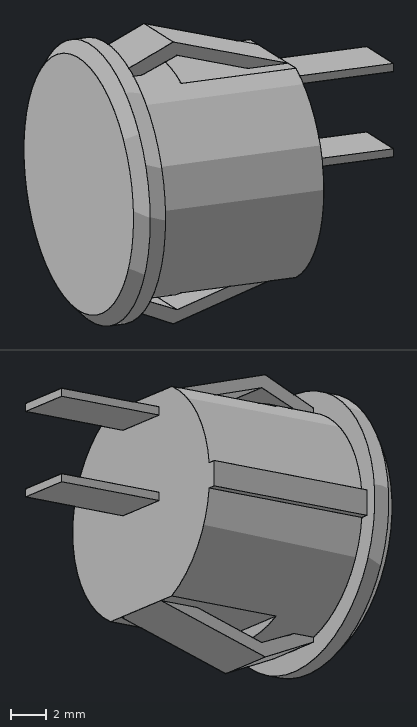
import cadquery as cq

total_length = 18.9
bezel_diameter = 16.5
bezel_thickness = 1.68
bezel_chamfer = 0.72

body_radius = 6.97
body_back = 12.19
flat_height = 6.24
flat_start = 5.0

rib_reach = 7.45
rib_height = 1.51

clip_width = 4.05
clip_peak_height = 16.8 / 2
clip_foot_height = 6.95
clip_inner_start = 9.68
clip_inner_peak = (5.25, 7.58)
clip_inner_foot_height = 6.12

terminal_width = 3.69
terminal_thickness = 0.5
terminal_heights = (0.0, 5.08)


def box_between(x_range, y_range, z_range):
    """Make a box from its lower and upper limits on each axis."""
    low, high = zip(x_range, y_range, z_range)
    size = [b - a for a, b in zip(low, high)]
    return cq.Workplane("XY").box(*size, centered=False).translate(low)


def cylinder_along_y(radius, start, end):
    return cq.Workplane("XZ", origin=(0, start, 0)).circle(radius).extrude(start - end)


def make_bezel():
    bezel = cylinder_along_y(bezel_diameter / 2, 0, bezel_thickness)
    return bezel.faces("<Y").edges().chamfer(bezel_chamfer)


def make_body():
    """Round body with a flat behind the step, on the upper and lower sides."""
    body = cylinder_along_y(body_radius, bezel_thickness, body_back)
    x_range = (-body_radius, body_radius)
    y_range = (flat_start, body_back)
    for z_range in ((flat_height, body_radius), (-body_radius, -flat_height)):
        body = body.cut(box_between(x_range, y_range, z_range))
    return body


def make_rib():
    """Key along the -X side of the body."""
    return box_between(
        (-rib_reach, 0), (bezel_thickness, body_back), (-rib_height / 2, rib_height / 2)
    )


def make_clip():
    """Bent snap arm on the upper side, from the back of the flat to the bezel."""
    profile = [
        (body_back, flat_height),
        (flat_start, clip_peak_height),
        (bezel_thickness, clip_foot_height),
        (bezel_thickness, clip_inner_foot_height),
        clip_inner_peak,
        (clip_inner_start, flat_height),
    ]
    return cq.Workplane("YZ").polyline(profile).close().extrude(clip_width / 2, both=True)


def make_terminal(height):
    """Flat blade standing out of the back of the body."""
    return box_between(
        (-terminal_width / 2, terminal_width / 2),
        (body_back, total_length),
        (height - terminal_thickness / 2, height + terminal_thickness / 2),
    )


upper_clip = make_clip()
result = make_bezel().union(make_body()).union(make_rib())
result = result.union(upper_clip).union(upper_clip.mirror("XY"))
for terminal_height in terminal_heights:
    result = result.union(make_terminal(terminal_height))